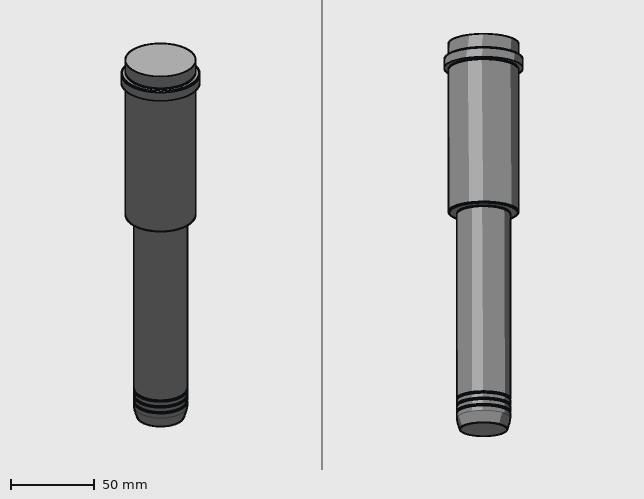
import cadquery as cq
import math

total_length = 240.0
shank_top = 135.0
collar_bottom = 225.0
collar_height = 6.2
collar_top = collar_bottom + collar_height
nose_height = 7.2

shank_radius = 16.0
body_radius = 42.0 / 2
collar_radius = 23.5
nose_tip_radius = 14.2

body_chamfer = 0.7
collar_chamfer = 0.7
tip_chamfer = 0.2
relief_depth = 0.5
relief_width = 0.7
nose_bulge = 0.2
groove_count = 3
groove_span = 8.0
groove_pitch = groove_span / (groove_count - 1)
lowest_groove_height = 10.5
groove_width = 1.2
groove_depth = 0.5


def cylinder(radius, bottom, top):
    """Solid cylinder about Z between two heights."""
    return cq.Workplane("XY").workplane(offset=bottom).circle(radius).extrude(top - bottom)


def relief_cutter(surface_radius, bottom):
    """Ring that cuts a square relief groove into a cylinder of the given radius."""
    outer = cylinder(surface_radius + relief_depth, bottom, bottom + relief_width)
    return outer.cut(cylinder(surface_radius - relief_depth, bottom, bottom + relief_width))


def oil_groove_cutter(middle):
    """Ring that cuts a V-shaped oil groove into the shank."""
    return (
        cq.Workplane("XZ")
        .moveTo(shank_radius - groove_depth, middle)
        .lineTo(shank_radius + groove_depth, middle - groove_width)
        .lineTo(shank_radius + groove_depth, middle + groove_width)
        .close()
        .revolve(360, (0, 0), (0, 1))
    )


def make_shank():
    """Slim lower pin with a rounded, chamfered lead-in nose, oil grooves and a relief groove at the top."""
    nose_length = math.hypot(shank_radius - nose_tip_radius, nose_height)
    bulge_x = nose_bulge * nose_height / nose_length
    bulge_z = nose_bulge * (shank_radius - nose_tip_radius) / nose_length
    nose_middle = ((shank_radius + nose_tip_radius) / 2 + bulge_x, nose_height / 2 - bulge_z)
    shank = (
        cq.Workplane("XZ")
        .moveTo(0, 0)
        .lineTo(nose_tip_radius, 0)
        .threePointArc(nose_middle, (shank_radius, nose_height))
        .lineTo(shank_radius, shank_top)
        .lineTo(0, shank_top)
        .close()
        .revolve(360, (0, 0), (0, 1))
        .faces("<Z")
        .chamfer(tip_chamfer)
    )
    for index in range(groove_count):
        groove_middle = lowest_groove_height + index * groove_pitch
        shank = shank.cut(oil_groove_cutter(groove_middle))
    return shank.cut(relief_cutter(shank_radius, shank_top - relief_width))


def make_body():
    """Wide upper pin, chamfered below, with relief grooves on both sides of the collar."""
    body = cylinder(body_radius, shank_top, total_length).faces("<Z").chamfer(body_chamfer)
    for relief_bottom in (collar_bottom - relief_width, collar_top):
        body = body.cut(relief_cutter(body_radius, relief_bottom))
    return body


def make_collar():
    """Locating collar, chamfered above."""
    return cylinder(collar_radius, collar_bottom, collar_top).faces(">Z").chamfer(collar_chamfer)


result = make_shank().union(make_body()).union(make_collar())